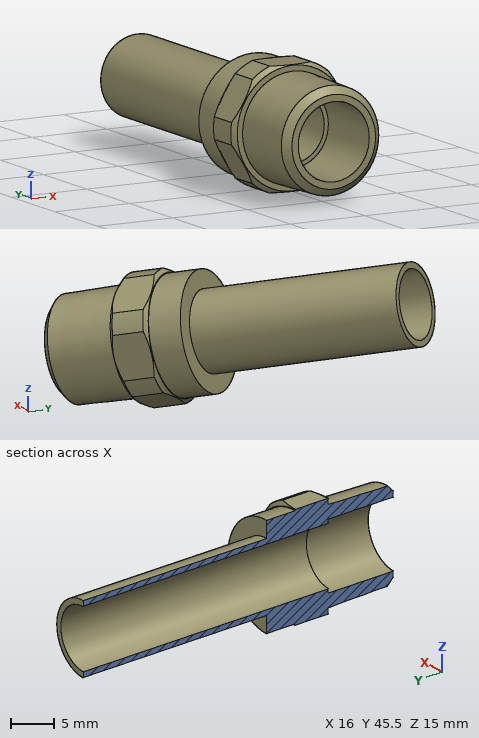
import cadquery as cq

overall_length = 45.5
thread_chamfer = 0.85
gauge_plane = 4.4
hex_start = 9.5
hex_end = 14.45
collar_end = 18.6

tube_dia = 10.0
collar_dia = 14.7
thread_tip_dia = 11.2
thread_front_dia = 13.05
thread_gauge_dia = 13.2
thread_root_dia = 13.45

hex_across_flats = 15.0
hex_sides = 6
hex_corner_dia = 16.0
hex_face_dia = 14.9
hex_front_chamfer = 0.55
hex_back_chamfer = 0.4

bore_dia = 8.4
counterbore_dia = 9.5
counterbore_depth = hex_start


def revolve_profile(stations):
    """Solid of revolution about Y through (y, diameter) stations."""
    first_y = stations[0][0]
    last_y = stations[-1][0]
    outline = [(0, first_y)]
    outline += [(diameter / 2, y) for y, diameter in stations]
    outline.append((0, last_y))
    return cq.Workplane("XY").polyline(outline).close().revolve(360, (0, 0), (0, 1))


def cylinder(diameter, start, end):
    return revolve_profile([(start, diameter), (end, diameter)])


def make_thread():
    """Tapered thread envelope with a chamfered tip."""
    return revolve_profile([
        (0, thread_tip_dia),
        (thread_chamfer, thread_front_dia),
        (gauge_plane, thread_gauge_dia),
        (hex_start, thread_root_dia),
    ])


def make_hex():
    """Hexagon, corners along X, trimmed by a chamfered turned blank."""
    prism = (
        cq.Workplane("XZ", origin=(0, hex_end, 0))
        .transformed(rotate=(0, 0, 180 / hex_sides))
        .polygon(hex_sides, hex_across_flats, circumscribed=True)
        .extrude(hex_end - hex_start)
    )
    blank = revolve_profile([
        (hex_start, hex_face_dia),
        (hex_start + hex_front_chamfer, hex_corner_dia),
        (hex_end - hex_back_chamfer, hex_corner_dia),
        (hex_end, hex_face_dia),
    ])
    return prism.intersect(blank)


body = make_thread().union(make_hex())
body = body.union(cylinder(collar_dia, hex_end, collar_end))
body = body.union(cylinder(tube_dia, collar_end, overall_length))

bore = cylinder(bore_dia, 0, overall_length)
counterbore = cylinder(counterbore_dia, 0, counterbore_depth)
result = body.cut(bore).cut(counterbore)